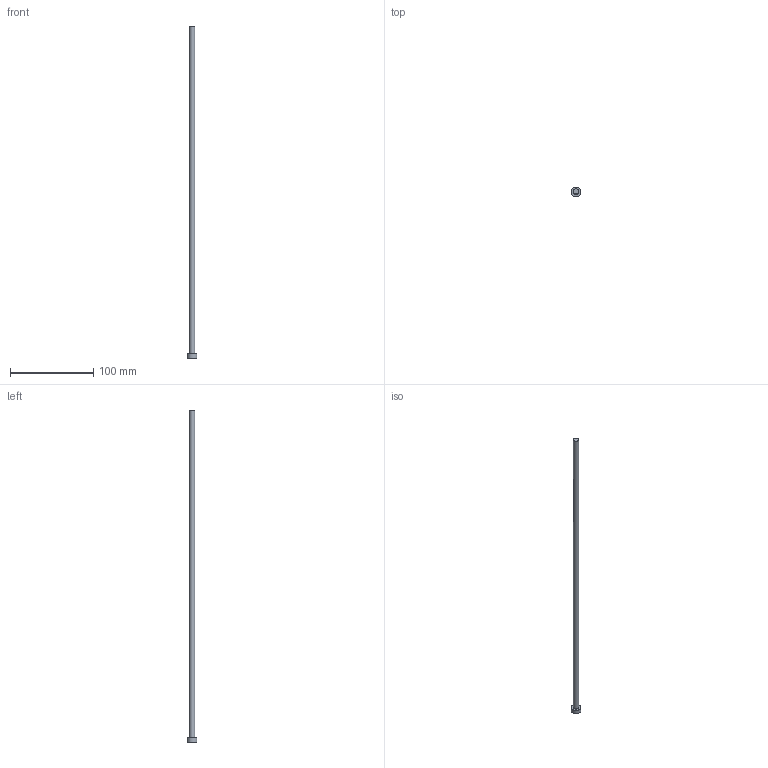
import cadquery as cq

total_length = 400.0
head_diameter = 12.0
head_height = 5.0
shaft_diameter = 6.5


def make_head():
    """Flat round head standing on the XY plane."""
    return cq.Workplane("XY").circle(head_diameter / 2).extrude(head_height)


def make_shaft():
    """Plain round shaft running the full length of the pin."""
    return cq.Workplane("XY").circle(shaft_diameter / 2).extrude(total_length)


result = make_head().union(make_shaft())